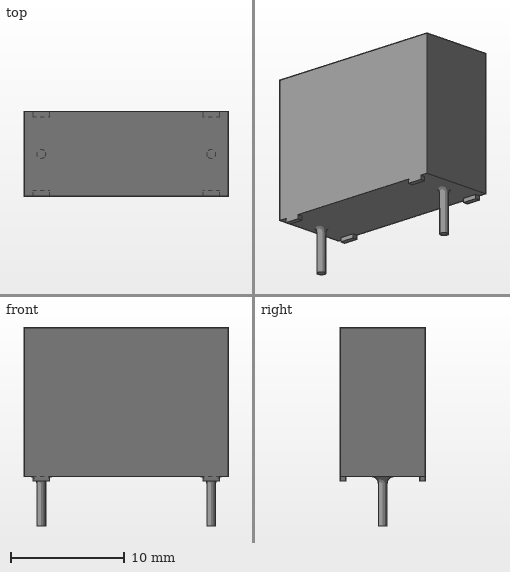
import cadquery as cq


case_length = 18.0
case_width = 7.5
overall_height = 17.5
case_height = 13.14

foot_length = 1.5
foot_width = 0.5
foot_height = 0.4

lead_pitch = 15.0
lead_diameter = 0.8
lead_radius = lead_diameter / 2
lead_length = overall_height - case_height
meniscus_radius = 0.6

lead_positions = [(side * lead_pitch / 2, 0) for side in (-1, 1)]
foot_offset_y = (case_width - foot_width) / 2
foot_positions = [(x, side * foot_offset_y) for x, _ in lead_positions for side in (-1, 1)]


def make_case():
    return cq.Workplane("XY").box(case_length, case_width, case_height, centered=(True, True, False))


def make_feet():
    return (
        cq.Workplane("XY")
        .pushPoints(foot_positions)
        .rect(foot_length, foot_width)
        .extrude(-foot_height)
    )


def make_lead(x, y):
    """Round lead with a concave flare at its root, revolved about its own axis."""
    flare_radius = lead_radius + meniscus_radius
    profile = (
        cq.Workplane("XZ")
        .lineTo(flare_radius, 0)
        .radiusArc((lead_radius, -meniscus_radius), -meniscus_radius)
        .lineTo(lead_radius, -lead_length)
        .lineTo(0, -lead_length)
        .close()
    )
    return profile.revolve(360, (0, 0, 0), (0, 1, 0)).translate((x, y, 0))


result = make_case().union(make_feet())
for lead_x, lead_y in lead_positions:
    result = result.union(make_lead(lead_x, lead_y))